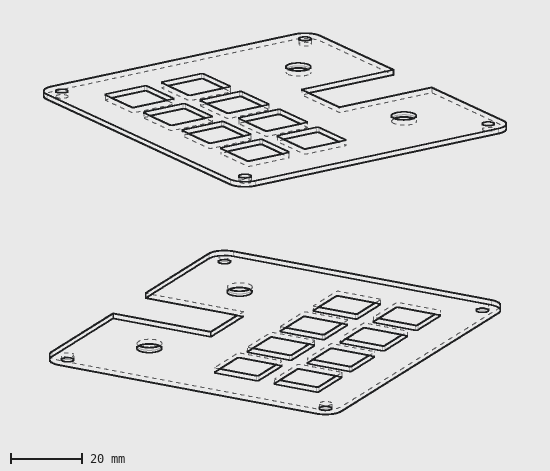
import cadquery as cq

width = 101.0
depth = 92.2
thickness = 1.5
corner_radius = 5.0

mount_diameter = 3.4
mount_inset = 5.0

notch_width = 18.8
notch_depth = 31.1
notch_center_x = 0.5

round_diameter = 7.0
round_spacing = 52.3
round_center_x = 0.2
round_y = 25.5

key_size = 14.0
key_pitch = 19.1
key_columns = 4
key_rows = 2
key_center_x = -0.6
key_center_y = -16.4
key_corner_radius = 0.5


def make_plate():
    plate = cq.Workplane("XY").box(width, depth, thickness)
    return plate.edges("|Z").fillet(corner_radius)


def cutter(points):
    """Workplane on the mid-plane with the given points selected."""
    return cq.Workplane("XY").pushPoints(points)


def make_mount_holes():
    x = width / 2 - mount_inset
    y = depth / 2 - mount_inset
    points = [(-x, -y), (x, -y), (-x, y), (x, y)]
    return cutter(points).circle(mount_diameter / 2).extrude(thickness, both=True)


def make_round_holes():
    points = [(round_center_x + side * round_spacing / 2, round_y) for side in (-1, 1)]
    return cutter(points).circle(round_diameter / 2).extrude(thickness, both=True)


def make_notch():
    center = (notch_center_x, depth / 2 - notch_depth / 2)
    return cutter([center]).rect(notch_width, notch_depth).extrude(thickness, both=True)


def make_key_openings():
    points = [
        (
            key_center_x + (column - (key_columns - 1) / 2) * key_pitch,
            key_center_y + (row - (key_rows - 1) / 2) * key_pitch,
        )
        for column in range(key_columns)
        for row in range(key_rows)
    ]
    openings = cutter(points).rect(key_size, key_size).extrude(thickness, both=True)
    return openings.edges("|Z").fillet(key_corner_radius)


result = (
    make_plate()
    .cut(make_mount_holes())
    .cut(make_round_holes())
    .cut(make_notch())
    .cut(make_key_openings())
)